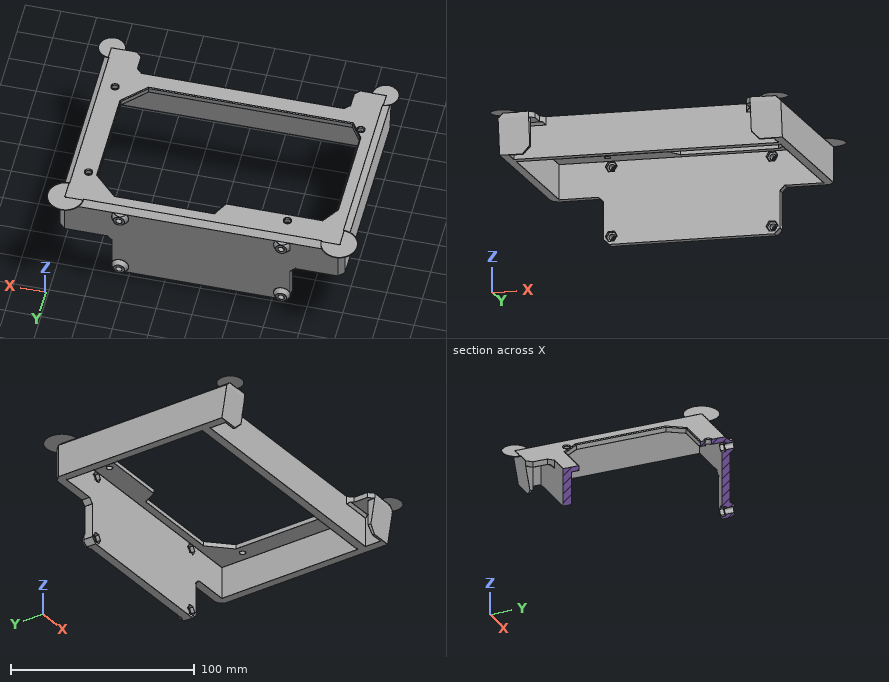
import cadquery as cq
import math


overall_width = 173.6
back_disc_radius = 10.0
front_disc_radius = 7.5
disc_thickness = 0.3
corner_x = overall_width / 2 - back_disc_radius
corner_y = 111.7

bevel_width = 3.3
bevel_height = 3.0
half_width = corner_x + bevel_width
back_y = corner_y + bevel_width
frame_height = 23.1
plate_thickness = 3.3
wall_thickness = 5.2

front_wall_y = 14.5
foot_inner_x = 62.7
foot_thickness = 4.5
foot_taper = 3.3
foot_corner_chamfer = 4.3
tongue_chamfer = 3.0
tongue_inner_x = foot_inner_x - tongue_chamfer
gusset_size = 1.5

opening_left = -70.2
opening_right = 63.2
opening_front = 24.3
opening_back = 105.2
opening_step_back = 96.7
step_start_x = -9.5
step_end_x = -5.0
left_corner_x = 6.3
left_corner_y = 9.4
right_corner = 12.7
opening_chamfer = 0.5

hole_diameter = 3.5
plate_sink_diameter = 4.5
plate_holes = [(-45.3, 101.5), (68.6, 91.7), (68.6, 27.6), (-69.3, 27.6)]

tab_half_width = 50.0
tab_bottom = -50.0
tab_chamfer = 3.1
tab_root_flare = 2.8
stud_inset = 4.5
stud_x = tab_half_width - stud_inset
stud_heights = [-6.3, tab_bottom + stud_inset]
stud_tip_radius = 3.1
stud_base_radius = 4.9
stud_length = 2.6
nut_across_flats = 5.5
nut_depth = 2.5


def box(x0, x1, y0, y1, z0, z1):
    return cq.Workplane("XY").box(x1 - x0, y1 - y0, z1 - z0, centered=False).translate((x0, y0, z0))


def plate_hole(x, y):
    """Hole through the plate with a 45 degree countersink at the top."""
    hole_radius = hole_diameter / 2
    sink_radius = plate_sink_diameter / 2
    hole = cq.Workplane("XY").center(x, y).circle(hole_radius).extrude(-frame_height)
    sink_depth = sink_radius - hole_radius
    sink = cq.Solid.makeCone(sink_radius, hole_radius, sink_depth, cq.Vector(x, y, 0), cq.Vector(0, 0, -1))
    return hole.union(cq.Workplane(sink))


def stud_hole(x, z):
    """Through hole in the back wall and stud with a hexagonal nut pocket on the inner side."""
    inner_face = cq.Workplane("XZ", origin=(x, back_y - wall_thickness, z))
    hole = inner_face.circle(hole_diameter / 2).extrude(-wall_thickness - stud_length)
    nut_across_corners = nut_across_flats / math.cos(math.pi / 6)
    return hole.union(inner_face.polygon(6, nut_across_corners).extrude(-nut_depth))


def back_corner_cut(side):
    """Waste outside a back corner: upright diagonal face with a bevel rising to the top corner."""
    near = bevel_width / math.sqrt(2)
    far = 2 * near
    diagonal = cq.Plane(origin=(side * corner_x, corner_y, 0), xDir=(side, 1, 0), normal=(1, -side, 0))
    return (
        cq.Workplane(diagonal)
        .polyline([
            (0, 0),
            (near, -bevel_height),
            (near, -frame_height),
            (far, -frame_height),
            (far, 0),
        ])
        .close()
        .extrude(far, both=True)
    )


def outer_envelope():
    """Outside of the frame: beveled top edges, cut back corners and tapered front."""
    across = (
        cq.Workplane("XZ")
        .polyline([
            (-half_width, -frame_height),
            (half_width, -frame_height),
            (half_width, -bevel_height),
            (corner_x, 0),
            (-corner_x, 0),
            (-half_width, -bevel_height),
        ])
        .close()
        .extrude(-back_y)
    )
    along = (
        cq.Workplane("YZ")
        .polyline([
            (0, 0),
            (corner_y, 0),
            (back_y, -bevel_height),
            (back_y, -frame_height),
            (foot_taper, -frame_height),
            (0, -bevel_height),
        ])
        .close()
        .extrude(half_width, both=True)
    )
    envelope = across.intersect(along)
    for side in (-1, 1):
        envelope = envelope.cut(back_corner_cut(side))
    return envelope


def inner_space():
    """Room between the four walls, under the plate."""
    inner_x = half_width - wall_thickness
    return box(
        -inner_x, inner_x,
        front_wall_y + wall_thickness, back_y - wall_thickness,
        -frame_height, -plate_thickness,
    )


def front_recess():
    """Gap between the two tongues of the plate, with chamfered corners."""
    outline = [
        (foot_inner_x, 0),
        (tongue_inner_x, tongue_chamfer),
        (tongue_inner_x, front_wall_y - tongue_chamfer),
        (tongue_inner_x - tongue_chamfer, front_wall_y),
    ]
    mirrored = [(-x, y) for x, y in reversed(outline)]
    return (
        cq.Workplane("XY")
        .polyline(outline + mirrored)
        .close()
        .extrude(-frame_height)
    )


def foot_hollow():
    """Space under the tongues, between the foot faces and the front wall."""
    inner_x = half_width - wall_thickness
    return (
        cq.Workplane("YZ")
        .polyline([
            (foot_thickness, -plate_thickness),
            (front_wall_y - gusset_size, -plate_thickness),
            (front_wall_y, -plate_thickness - gusset_size),
            (front_wall_y, -frame_height),
            (foot_thickness, -frame_height),
        ])
        .close()
        .extrude(inner_x, both=True)
    )


def foot_gap():
    """Space between the feet, below the plate, with a chamfer at each foot's lower corner."""
    return (
        cq.Workplane("XZ")
        .polyline([
            (-foot_inner_x, -plate_thickness),
            (foot_inner_x, -plate_thickness),
            (foot_inner_x, foot_corner_chamfer - frame_height),
            (foot_inner_x + foot_corner_chamfer, -frame_height),
            (-foot_inner_x - foot_corner_chamfer, -frame_height),
            (-foot_inner_x, foot_corner_chamfer - frame_height),
        ])
        .close()
        .extrude(-foot_thickness)
    )


def plate_opening():
    """Stepped opening with cut corners, chamfered around its top edge."""
    hole = (
        cq.Workplane("XY")
        .polyline([
            (opening_left, opening_front + left_corner_y),
            (opening_left + left_corner_x, opening_front),
            (opening_right - right_corner, opening_front),
            (opening_right, opening_front + right_corner),
            (opening_right, opening_back - right_corner),
            (opening_right - right_corner, opening_back),
            (step_end_x, opening_back),
            (step_start_x, opening_step_back),
            (opening_left + left_corner_x, opening_step_back),
            (opening_left, opening_step_back - left_corner_y),
        ])
        .close()
        .extrude(-frame_height)
    )
    flare = (
        hole.faces(">Z")
        .wires()
        .toPending()
        .offset2D(opening_chamfer, "intersection")
        .extrude(-opening_chamfer, taper=45)
    )
    return hole.union(flare)


def tab():
    """Plate hanging from the back wall, flared at its root."""
    profile = [
        (tab_half_width + tab_root_flare, -frame_height),
        (tab_half_width, -frame_height - tab_root_flare),
        (tab_half_width, tab_bottom + tab_chamfer),
        (tab_half_width - tab_chamfer, tab_bottom),
    ]
    mirrored = [(-x, z) for x, z in reversed(profile)]
    return (
        cq.Workplane("XZ", origin=(0, back_y, 0))
        .polyline(profile + mirrored)
        .close()
        .extrude(wall_thickness)
    )


def stud_limits():
    """Space behind the back wall that the studs may fill, cut like the tab's lower corners."""
    return (
        box(
            -tab_half_width, tab_half_width,
            back_y, back_y + stud_length,
            tab_bottom, -bevel_height,
        )
        .edges("|Y and <Z")
        .chamfer(tab_chamfer)
    )


def stud(x, z):
    """Short conical stud on the outer side of the back wall."""
    base = cq.Vector(x, back_y, z)
    cone = cq.Solid.makeCone(stud_base_radius, stud_tip_radius, stud_length, base, cq.Vector(0, 1, 0))
    return cq.Workplane(cone).intersect(stud_limits())


result = outer_envelope()
for space in (inner_space(), front_recess(), foot_hollow(), foot_gap()):
    result = result.cut(space)
result = result.union(tab())

for side in (-1, 1):
    for y, radius in ((0, front_disc_radius), (corner_y, back_disc_radius)):
        disc = cq.Workplane("XY").center(side * corner_x, y).circle(radius).extrude(-disc_thickness)
        result = result.union(disc)

result = result.cut(plate_opening())

for x in (-stud_x, stud_x):
    for z in stud_heights:
        result = result.union(stud(x, z))
        result = result.cut(stud_hole(x, z))

for x, y in plate_holes:
    result = result.cut(plate_hole(x, y))